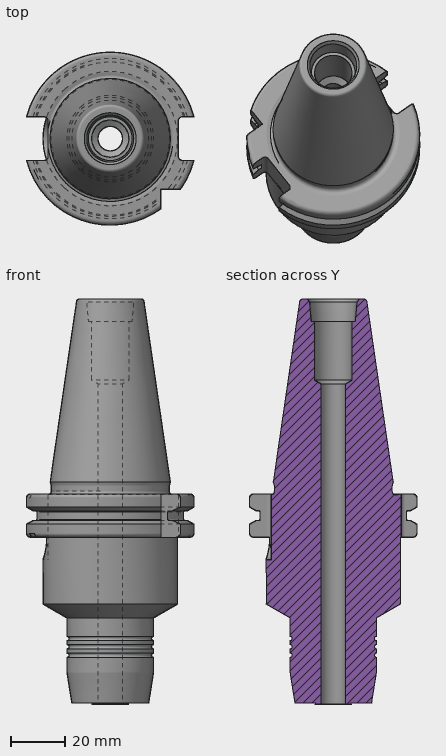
import cadquery as cq
import math

total_height = 148.9

ring_radius = 6.7
ring_height = 0.5
nose_tip_radius = 14.1
nose_radius = 16.0
nose_taper_top = 11.6
nose_groove_radius = 0.7
nose_groove_heights = (18.0, 21.1, 24.1)

shoulder_bottom = 31.7
body_bottom = 36.8
body_radius = 24.7

flange_radius = 31.79
flange_top = 77.3
flange_thickness = 16.0
flange_bottom = flange_top - flange_thickness
flange_fillet = 1.5
groove_corner_fillet = 0.5
groove_floor_radius = 28.1
groove_floor_width = 3.5
groove_mouth_width = 6.3
groove_flank_angle = 30.0
groove_flank_height = (groove_mouth_width - groove_floor_width) / 2
groove_step_radius = flange_radius - groove_flank_height / math.tan(math.radians(groove_flank_angle))
groove_height = flange_top - flange_thickness / 2

recess_outer_radius = 24.4
recess_floor_radius = 23.1
recess_depth = 0.3
recess_floor = flange_top - recess_depth
neck_radius = 21.7
neck_fillet = recess_floor_radius - neck_radius
neck_top = 80.3

taper_bottom = 81.6
taper_large_radius = 22.11
taper_ratio = 7 / 24
taper_small_radius = taper_large_radius - (total_height - taper_bottom) * taper_ratio / 2
taper_end_fillet = 1.0

mouth_radius = 9.5
mouth_chamfer_depth = 1.2
socket_top_radius = 8.6
socket_bottom_radius = 8.0
socket_depth = 8.2
core_radius = 6.8
core_depth = 29.8
coolant_radius = 4.5
drill_half_angle = 59.0

slot_width = 16.0
left_slot_floor = 22.8
right_slot_floor = 25.0
slot_bottom = 53.2
slot_corner_radius = 1.5
notch_x = 18.6
notch_y = -18.6


def revolve(outline):
    """Turn an outline of radius and height around the Z axis."""
    return outline.close().revolve(360, (0, 0, 0), (0, 1, 0))


def make_nose_and_body():
    outline = (
        cq.Workplane("XZ")
        .lineTo(ring_radius, 0)
        .lineTo(ring_radius, ring_height)
        .lineTo(nose_tip_radius, ring_height)
        .lineTo(nose_radius, nose_taper_top)
        .lineTo(nose_radius, shoulder_bottom)
        .lineTo(body_radius, body_bottom)
        .lineTo(body_radius, flange_bottom)
        .lineTo(0, flange_bottom)
    )
    body = revolve(outline)
    for height in nose_groove_heights:
        groove = cq.Solid.makeTorus(nose_radius, nose_groove_radius, cq.Vector(0, 0, height))
        body = body.cut(cq.Workplane(obj=groove))
    return body


def make_flange():
    flange = (
        cq.Workplane("XY")
        .workplane(offset=flange_bottom)
        .circle(flange_radius)
        .extrude(flange_thickness)
        .edges()
        .fillet(flange_fillet)
    )
    half_floor = groove_floor_width / 2
    half_mouth = groove_mouth_width / 2
    groove = revolve(
        cq.Workplane("XZ")
        .moveTo(groove_floor_radius, groove_height - half_floor)
        .lineTo(groove_step_radius, groove_height - half_floor)
        .lineTo(flange_radius, groove_height - half_mouth)
        .lineTo(flange_radius, groove_height + half_mouth)
        .lineTo(groove_step_radius, groove_height + half_floor)
        .lineTo(groove_floor_radius, groove_height + half_floor)
    )
    inner_side = cq.selectors.RadiusNthSelector(0)
    groove = groove.edges(inner_side).fillet(groove_corner_fillet)
    recess = revolve(
        cq.Workplane("XZ")
        .moveTo(0, recess_floor)
        .lineTo(recess_floor_radius, recess_floor)
        .lineTo(recess_outer_radius, flange_top)
        .lineTo(0, flange_top)
    )
    return flange.cut(groove).cut(recess)


def make_neck_and_taper():
    outline = (
        cq.Workplane("XZ")
        .moveTo(0, recess_floor)
        .lineTo(recess_floor_radius, recess_floor)
        .radiusArc((neck_radius, recess_floor + neck_fillet), neck_fillet)
        .lineTo(neck_radius, neck_top)
        .lineTo(taper_large_radius, taper_bottom)
        .lineTo(taper_small_radius, total_height)
        .lineTo(0, total_height)
    )
    return revolve(outline).faces(">Z").edges().fillet(taper_end_fillet)


def make_bore():
    """Tapered socket, core hole with a drill tip and coolant hole as one cutter."""
    socket_floor = total_height - socket_depth
    core_bottom = total_height - core_depth
    drill_tip_height = (core_radius - coolant_radius) / math.tan(math.radians(drill_half_angle))
    return revolve(
        cq.Workplane("XZ")
        .lineTo(coolant_radius, 0)
        .lineTo(coolant_radius, core_bottom - drill_tip_height)
        .lineTo(core_radius, core_bottom)
        .lineTo(core_radius, socket_floor)
        .lineTo(socket_bottom_radius, socket_floor)
        .lineTo(socket_top_radius, total_height - mouth_chamfer_depth)
        .lineTo(mouth_radius, total_height)
        .lineTo(0, total_height)
    )


def make_slot(side, floor):
    """Radial slot on one X side (-1 or 1), rounded at its lower end."""
    length = flange_radius - floor
    end_radius = slot_width / 2
    plan = (
        cq.Workplane("XY")
        .box(length, slot_width, flange_top - slot_bottom, centered=(False, True, False))
        .edges("|Z and <X")
        .fillet(slot_corner_radius)
        .translate((floor, 0, slot_bottom))
    )
    round_end = (
        cq.Workplane("YZ")
        .moveTo(-end_radius, flange_top)
        .lineTo(-end_radius, slot_bottom + end_radius)
        .threePointArc((0, slot_bottom), (end_radius, slot_bottom + end_radius))
        .lineTo(end_radius, flange_top)
        .close()
        .extrude(flange_radius)
    )
    slot = plan.intersect(round_end)
    return slot if side > 0 else slot.mirror("YZ")


def make_notch():
    return (
        cq.Workplane("XY")
        .box(flange_radius, flange_radius, flange_thickness, centered=False)
        .mirror("XZ")
        .translate((notch_x, notch_y, flange_bottom))
    )


result = (
    make_nose_and_body()
    .union(make_flange())
    .union(make_neck_and_taper())
    .cut(make_bore())
    .cut(make_slot(-1, left_slot_floor))
    .cut(make_slot(1, right_slot_floor))
    .cut(make_notch())
)